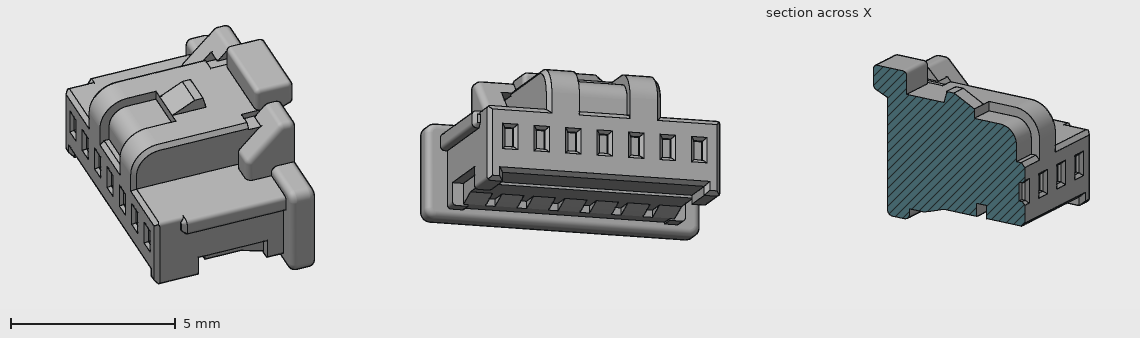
import cadquery as cq
import math


FLANGE_WIDTH = 8.7
FLANGE_HEIGHT = 2.955
FLANGE_THICKNESS = 0.82
FLANGE_CORNER_RADIUS = 0.3
FLANGE_EDGE_RADIUS = 0.2
BACK_Y = 5.0
FLANGE_FRONT_Y = BACK_Y - FLANGE_THICKNESS

BODY_WIDTH = 7.4
BODY_BOTTOM_Z = 0.3
BODY_TOP_Z = 2.633
EDGE_BREAK = 0.135
BODY_EDGE_RADIUS = 0.125

RAIL_WIDTH = 7.84
RAIL_FRONT_Y = 0.81
RAIL_HEIGHT = 0.53
RAIL_EDGE_RADIUS = 0.14

FOOT_INNER_WIDTH = 6.4
FRONT_WALL_Y = 1.4
CROSS_SLOT_END_Y = 1.75
WINDOW_END_Y = 3.66
WINDOW_TOP_Z = 1.0
CORE_WIDTH = 6.7
CORE_BOTTOM_Z = 0.58
RAMP_START_Y = 2.94
RAMP_STEEP_LENGTH = 0.18
RAMP_STEEP_DROP = 0.06
RAMP_END_Z = 0.354
RIB_GAP = 0.3

CONTACT_COUNT = 7
CONTACT_PITCH = 1.0
CONTACT_X0 = -CONTACT_PITCH * (CONTACT_COUNT - 1) / 2
OPENING_WIDTH = 0.48
OPENING_HEIGHT = 0.79
OPENING_CENTER_Z = 1.68
OPENING_LEAD_IN = 0.1
LEAD_IN_DEGREES = 45
OPENING_DEPTH = 0.21

BURIED_Z = BODY_TOP_Z - 0.6

LATCH_WIDTH = 3.63
LATCH_TOP_Z = 4.03
LATCH_NOSE_RADIUS = 0.89
SHELF_Z = 3.85
SHELF_FRONT_Y = 3.8
TAB_WIDTH = 2.49
RECESS_WIDTH = 1.61
RECESS_DEPTH = 0.3
RECESS_END_Y = 1.83

HOOK_WIDTH = 1.01
HOOK_TOP_Z = 4.4
HOOK_RAMP_TOP_Y = 2.57
HOOK_BACK_TOP_Y = 2.84
HOOK_BACK_Y = 2.94

TAB_FRONT_Y = 4.28
TAB_BACK_Y = 5.5
TAB_TOP_Z = 4.76
TAB_BOTTOM_Z = 4.0
TAB_SLOPE_DEGREES = 23.0
TAB_EDGE_RADIUS = 0.15

EAR_OUTER_X = 2.725
EAR_INNER_X = 2.0
EAR_TIP_X = 1.5
EAR_TOP_Z = 4.42
EAR_FRONT_Y = 3.39
EAR_SHOULDER_Z = 3.3
EAR_EDGE_RADIUS = 0.2


def block(x_range, y_range, z_range):
    """Box between the given limits."""
    size = [high - low for low, high in (x_range, y_range, z_range)]
    corner = (x_range[0], y_range[0], z_range[0])
    return cq.Workplane("XY").box(*size, centered=False).translate(corner)


def centered_block(width, y_range, z_range):
    """Box centred on X = 0."""
    return block((-width / 2, width / 2), y_range, z_range)


def side_profile(points):
    """Closed Y-Z outline, ready to be extruded both ways along X."""
    return cq.Workplane("YZ").polyline(points).close()


def flange():
    """Rounded plate, lowered to the housing top between the ears."""
    plate = centered_block(FLANGE_WIDTH, (FLANGE_FRONT_Y, BACK_Y), (0, FLANGE_HEIGHT))
    plate = plate.edges("|Y").fillet(FLANGE_CORNER_RADIUS)
    plate = plate.faces("<Y or >Y").edges().fillet(FLANGE_EDGE_RADIUS)
    return plate.cut(
        centered_block(2 * EAR_INNER_X, (FLANGE_FRONT_Y, BACK_Y), (BODY_TOP_Z, FLANGE_HEIGHT))
    )


def body():
    """Housing with rounded long edges, an open notch under the front wall and a chamfered front."""
    housing = centered_block(BODY_WIDTH, (0, BACK_Y - FLANGE_EDGE_RADIUS), (BODY_BOTTOM_Z, BODY_TOP_Z))
    rounded = housing.edges("|Y").fillet(BODY_EDGE_RADIUS)
    notched = housing.cut(
        centered_block(FOOT_INNER_WIDTH, (0, FRONT_WALL_Y), (BODY_BOTTOM_Z, CORE_BOTTOM_Z))
    )
    return notched.faces("<Y").edges().chamfer(EDGE_BREAK).intersect(rounded)


def rails():
    """Bar across the housing whose two ends stand out as the side rails."""
    bar = centered_block(
        RAIL_WIDTH, (RAIL_FRONT_Y, FLANGE_FRONT_Y), (BODY_TOP_Z - RAIL_HEIGHT, BODY_TOP_Z)
    )
    bar = bar.edges("|Y").fillet(RAIL_EDGE_RADIUS)
    return bar.faces("<Y").edges().chamfer(EDGE_BREAK)


def underside_cut():
    """Cross slot, side windows, and the ramped floor between the feet."""
    cross_slot = centered_block(RAIL_WIDTH, (FRONT_WALL_Y, CROSS_SLOT_END_Y), (0, WINDOW_TOP_Z))
    windows = centered_block(RAIL_WIDTH, (FRONT_WALL_Y, WINDOW_END_Y), (0, WINDOW_TOP_Z)).cut(
        centered_block(CORE_WIDTH, (FRONT_WALL_Y, WINDOW_END_Y), (0, WINDOW_TOP_Z))
    )
    ramp = (
        cq.Workplane("YZ")
        .moveTo(FRONT_WALL_Y, 0)
        .lineTo(FRONT_WALL_Y, CORE_BOTTOM_Z)
        .lineTo(RAMP_START_Y, CORE_BOTTOM_Z)
        .line(RAMP_STEEP_LENGTH, -RAMP_STEEP_DROP)
        .tangentArcPoint((WINDOW_END_Y, RAMP_END_Z), relative=False)
        .lineTo(WINDOW_END_Y, 0)
        .close()
        .extrude(CORE_WIDTH / 2, both=True)
    )
    rear = centered_block(FOOT_INNER_WIDTH, (WINDOW_END_Y, FLANGE_FRONT_Y), (0, RAMP_END_Z))
    cutter = cross_slot.union(windows).union(ramp).union(rear)
    for i in range(CONTACT_COUNT - 1):
        x = CONTACT_X0 + (i + 0.5) * CONTACT_PITCH
        cutter = cutter.union(
            block(
                (x - RIB_GAP / 2, x + RIB_GAP / 2), (CROSS_SLOT_END_Y, WINDOW_END_Y), (0, CORE_BOTTOM_Z)
            )
        )
    return cutter


def contact_openings():
    """Blind rectangular openings with a chamfered lead-in at the front face."""
    centers = [(CONTACT_X0 + i * CONTACT_PITCH, OPENING_CENTER_Z) for i in range(CONTACT_COUNT)]
    narrow = cq.Workplane("XZ").pushPoints(centers).rect(
        OPENING_WIDTH - 2 * OPENING_LEAD_IN, OPENING_HEIGHT - 2 * OPENING_LEAD_IN
    ).extrude(-OPENING_DEPTH)
    lead_in = cq.Workplane("XZ").pushPoints(centers).rect(OPENING_WIDTH, OPENING_HEIGHT).extrude(
        -OPENING_LEAD_IN, taper=LEAD_IN_DEGREES
    )
    return narrow.union(lead_in)


def nose_profile(inset, end_y):
    """Outline of the latch block, or of one set inside it, with a rounded front top edge."""
    radius = LATCH_NOSE_RADIUS - inset
    nose_z = LATCH_TOP_Z - LATCH_NOSE_RADIUS
    return (
        cq.Workplane("YZ")
        .moveTo(inset, BURIED_Z)
        .lineTo(inset, nose_z)
        .radiusArc((LATCH_NOSE_RADIUS, LATCH_TOP_Z - inset), radius)
        .lineTo(end_y, LATCH_TOP_Z - inset)
        .lineTo(end_y, BURIED_Z)
        .close()
    )


def latch():
    """Solid latch block with a stepped back, a recessed nose and a ramped hook."""
    front = nose_profile(0, SHELF_FRONT_Y).extrude(LATCH_WIDTH / 2, both=True)
    front = front.faces("<X or >X").edges("not(<Z or >Y)").chamfer(EDGE_BREAK)
    rear = centered_block(LATCH_WIDTH, (SHELF_FRONT_Y, BACK_Y), (BODY_TOP_Z, SHELF_Z))
    arm = centered_block(TAB_WIDTH, (SHELF_FRONT_Y, TAB_FRONT_Y + TAB_EDGE_RADIUS), (SHELF_Z, LATCH_TOP_Z))
    recess = centered_block(RECESS_WIDTH, (0, RECESS_END_Y), (BODY_TOP_Z - EDGE_BREAK, LATCH_TOP_Z)).cut(
        nose_profile(RECESS_DEPTH, RECESS_END_Y).extrude(RECESS_WIDTH, both=True)
    )
    hook = side_profile(
        [
            (RECESS_END_Y, LATCH_TOP_Z),
            (HOOK_RAMP_TOP_Y, HOOK_TOP_Z),
            (HOOK_BACK_TOP_Y, HOOK_TOP_Z),
            (HOOK_BACK_Y, LATCH_TOP_Z),
        ]
    ).extrude(HOOK_WIDTH / 2, both=True)
    return front.union(rear).cut(recess).union(arm).union(hook)


def finger_tab():
    """Rounded block whose underside slopes down toward the front."""
    slope_drop = (TAB_BACK_Y - TAB_FRONT_Y) * math.tan(math.radians(TAB_SLOPE_DEGREES))
    tab = side_profile(
        [
            (TAB_BACK_Y, TAB_BOTTOM_Z),
            (TAB_BACK_Y, TAB_TOP_Z),
            (TAB_FRONT_Y, TAB_TOP_Z),
            (TAB_FRONT_Y, TAB_BOTTOM_Z - slope_drop),
        ]
    ).extrude(TAB_WIDTH / 2, both=True)
    return tab.edges().fillet(TAB_EDGE_RADIUS)


def ear():
    """Guard ear on the +X side, with a tip that reaches inward over the latch shelf."""
    slope_top_y = EAR_FRONT_Y + EAR_TOP_Z - EAR_SHOULDER_Z
    plate = side_profile(
        [
            (EAR_FRONT_Y, BURIED_Z),
            (EAR_FRONT_Y, EAR_SHOULDER_Z),
            (slope_top_y, EAR_TOP_Z),
            (BACK_Y, EAR_TOP_Z),
            (BACK_Y, BURIED_Z),
        ]
    ).extrude(EAR_OUTER_X - EAR_TIP_X)
    plate = plate.translate((EAR_TIP_X, 0, 0))
    plate = plate.edges("|X and (not <Z)").fillet(EAR_EDGE_RADIUS)
    plate = plate.faces(">X").edges("not <Z").fillet(EAR_EDGE_RADIUS)
    return plate.cut(block((EAR_TIP_X, EAR_INNER_X), (EAR_FRONT_Y, BACK_Y), (BURIED_Z, LATCH_TOP_Z)))


right_ear = ear()
result = (
    body()
    .union(rails())
    .cut(underside_cut())
    .union(flange())
    .union(latch())
    .union(finger_tab())
    .union(right_ear)
    .union(right_ear.mirror("YZ"))
    .cut(contact_openings())
)